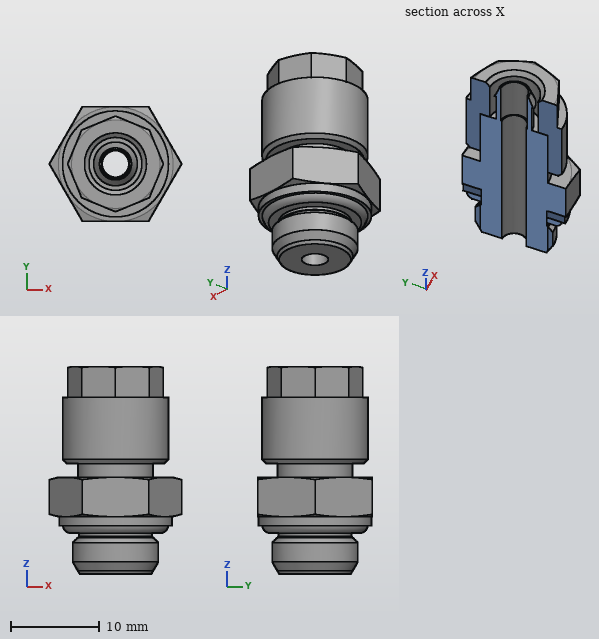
import cadquery as cq
import math

bore_dia = 3.0
hex_across_flats = 13.0
hex_bottom = 6.5
hex_top = 10.97
hex_chamfer_angle = 15
upper_neck_dia = 8.5
lower_neck_dia = 8.3
shoulder_height = 18.33

barb_root_dia = 4.5
barb_dia = 4.95
barb_tip_dia = 3.65
barb_edge_height = 21.71
barb_top = 23.35
barb_bore_dia = 3.27

thread_dia = 9.73
thread_core_dia = 8.58
point_dia = 8.1
point_height = 1.39
thread_shoulder_height = 3.57

washer_dia = 12.8
washer_bottom = 5.48
seal_dia = 11.95
seal_face_dia = 10.53
seal_bottom = 4.65
seal_bulge = 0.65

nut_top = 23.5
nut_bottom = 12.53
sleeve_dia = 12.0
sleeve_top = 20.02
sleeve_chamfer = 0.47
octagon_across_flats = 10.0
octagon_chamfer_angle = 15
tube_hole_dia = 6.0
tube_hole_chamfer = 0.52

thread_taper = point_height / (thread_dia - point_dia)
thread_bottom = (thread_core_dia - point_dia) * thread_taper
thread_top = thread_shoulder_height + (thread_dia - thread_core_dia) / 2
neck_start = thread_top + (thread_core_dia - lower_neck_dia) / 2


def revolve_profile(points):
    """Revolve closed (radius, height) points about the Z axis."""
    return cq.Workplane("XZ").polyline(points).close().revolve(360, (0, 0), (0, 1))


def disc(diameter, bottom, top):
    return cq.Workplane("XY").workplane(offset=bottom).circle(diameter / 2).extrude(top - bottom)


def regular_prism(sides, across_flats, bottom, top):
    """Prism with one corner on the +X axis."""
    corner_dia = across_flats / math.cos(math.pi / sides)
    return cq.Workplane("XY").workplane(offset=bottom).polygon(sides, corner_dia).extrude(top - bottom)


def corner_chamfer(sides, across_flats, bottom, top, angle, both_ends):
    """Conical-ended blank that trims the corners of a prism."""
    flat_radius = across_flats / 2
    corner_radius = flat_radius / math.cos(math.pi / sides)
    drop = (corner_radius - flat_radius) * math.tan(math.radians(angle))
    points = [(0, top), (flat_radius, top), (corner_radius, top - drop)]
    if both_ends:
        points += [(corner_radius, bottom + drop), (flat_radius, bottom)]
    else:
        points += [(corner_radius, bottom)]
    return revolve_profile(points + [(0, bottom)])


def make_screw_body():
    shaft = revolve_profile([
        (0, 0),
        (point_dia / 2, 0),
        (thread_core_dia / 2, thread_bottom),
        (thread_core_dia / 2, thread_top),
        (lower_neck_dia / 2, neck_start),
        (lower_neck_dia / 2, hex_bottom),
        (upper_neck_dia / 2, hex_bottom),
        (upper_neck_dia / 2, shoulder_height),
        (barb_root_dia / 2, shoulder_height),
        (barb_root_dia / 2, barb_edge_height),
        (barb_dia / 2, barb_edge_height),
        (barb_tip_dia / 2, barb_top),
        (0, barb_top),
    ])
    hexagon = regular_prism(6, hex_across_flats, hex_bottom, hex_top).intersect(
        corner_chamfer(6, hex_across_flats, hex_bottom, hex_top, hex_chamfer_angle, True)
    )
    bore_radius = bore_dia / 2
    bore = revolve_profile([
        (0, 0),
        (bore_radius, 0),
        (bore_radius, shoulder_height),
        (barb_bore_dia / 2, shoulder_height),
        (barb_bore_dia / 2, barb_top),
        (0, barb_top),
    ])
    return shaft.union(hexagon).cut(bore)


def make_thread_sleeve():
    return revolve_profile([
        (thread_core_dia / 2, thread_bottom),
        (thread_dia / 2, point_height),
        (thread_dia / 2, thread_shoulder_height),
        (thread_core_dia / 2, thread_top),
    ])


def make_washer():
    return disc(washer_dia, washer_bottom, hex_bottom).cut(disc(lower_neck_dia, washer_bottom, hex_bottom))


def make_seal():
    """Ring whose lower outer edge is rounded by an arc."""
    edge_width = (seal_dia - seal_face_dia) / 2
    edge_height = washer_bottom - seal_bottom
    bulge_point = (
        seal_face_dia / 2 + edge_width * seal_bulge,
        washer_bottom - edge_height * seal_bulge,
    )
    return (
        cq.Workplane("XZ")
        .moveTo(lower_neck_dia / 2, seal_bottom)
        .lineTo(seal_face_dia / 2, seal_bottom)
        .threePointArc(bulge_point, (seal_dia / 2, washer_bottom))
        .lineTo(lower_neck_dia / 2, washer_bottom)
        .close()
        .revolve(360, (0, 0), (0, 1))
    )


def make_union_nut():
    sleeve = disc(sleeve_dia, nut_bottom, sleeve_top).faces("<Z").chamfer(sleeve_chamfer)
    octagon = regular_prism(8, octagon_across_flats, sleeve_top, nut_top).intersect(
        corner_chamfer(8, octagon_across_flats, sleeve_top, nut_top, octagon_chamfer_angle, False)
    )
    tube_radius = tube_hole_dia / 2
    cavity = revolve_profile([
        (0, nut_bottom),
        (upper_neck_dia / 2, nut_bottom),
        (upper_neck_dia / 2, shoulder_height),
        (tube_radius, shoulder_height),
        (tube_radius, nut_top - tube_hole_chamfer),
        (tube_radius + tube_hole_chamfer, nut_top),
        (0, nut_top),
    ])
    return sleeve.union(octagon).cut(cavity)


screw_body = make_screw_body()
thread_sleeve = make_thread_sleeve()
washer = make_washer()
seal = make_seal()
union_nut = make_union_nut()

result = cq.Compound.makeCompound([
    screw_body.val(),
    thread_sleeve.val(),
    washer.val(),
    seal.val(),
    union_nut.val(),
])